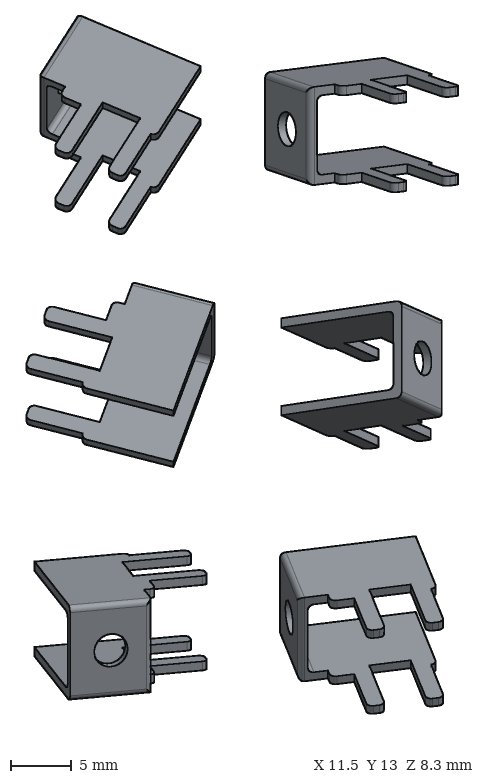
import cadquery as cq

length = 11.5
height = 8.3
thickness = 0.8
edge_radius = 0.5

body_depth = 7.0
shoulder_depth = 8.0
pin_depth = 13.0

pin_width = 1.5
pin_starts = (4.5, 9.5)
shoulder_start = 2.5
shoulder_spans = (
    (shoulder_start, pin_starts[0] + pin_width),
    (pin_starts[1], length),
)

hole_diameter = 2.85


def make_block(x_size, z_size, rounded_edges):
    """Block as deep as the body, with the selected edges rounded."""
    block = cq.Workplane("XY").box(x_size, body_depth, z_size, centered=False)
    return block.edges(rounded_edges).fillet(edge_radius).translate((0, -body_depth, 0))


def make_channel():
    """U-shaped channel: an end wall and two parallel plates, open towards +X."""
    rounded_bends = make_block(length, height, "|Y and <X")
    rounded_front = make_block(length, height, "|Z and <X and <Y")
    cavity = make_block(length, height - 2 * thickness, "|Y and <X")
    return rounded_bends.intersect(rounded_front).cut(cavity.translate((thickness, 0, thickness)))


def make_tab(x_start, width, depth):
    """Flat tab reaching from the back edge to the given depth, with rounded front corners."""
    return (
        cq.Workplane("XY")
        .box(width, depth, thickness, centered=False)
        .edges("|Z and <Y")
        .fillet(edge_radius)
        .translate((x_start, -depth, 0))
    )


def add_plate_tabs(body, plate_bottom):
    """Add the two shoulders and two pins of the plate whose underside is at plate_bottom."""
    tabs = [make_tab(start, end - start, shoulder_depth) for start, end in shoulder_spans]
    tabs += [make_tab(start, pin_width, pin_depth) for start in pin_starts]
    for tab in tabs:
        body = body.union(tab.translate((0, 0, plate_bottom)))
    return body


def make_hole():
    """Cylinder that pierces the end wall at its centre."""
    return (
        cq.Workplane("YZ")
        .center(-body_depth / 2, height / 2)
        .circle(hole_diameter / 2)
        .extrude(2 * thickness)
    )


part = make_channel()
for plate_bottom in (0, height - thickness):
    part = add_plate_tabs(part, plate_bottom)
result = part.cut(make_hole())